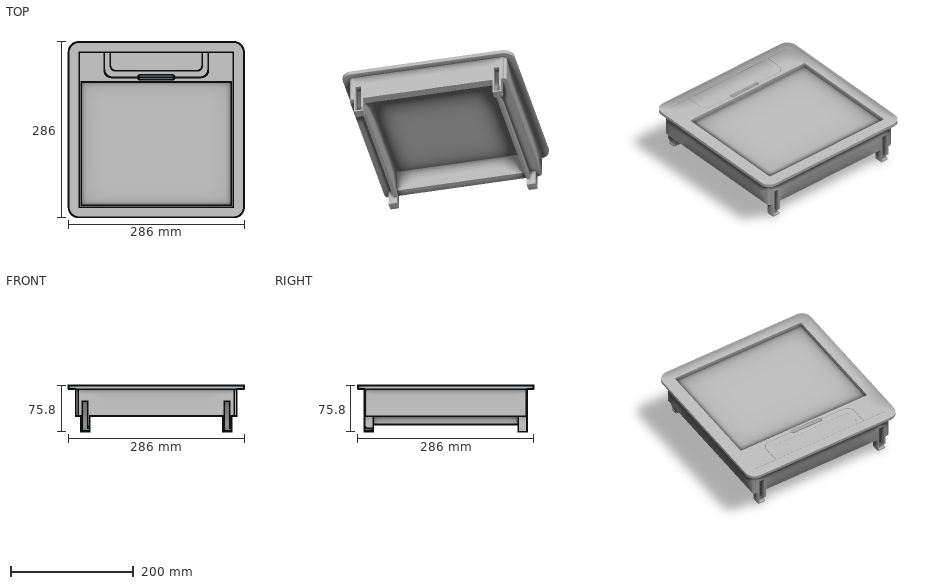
import cadquery as cq

TOTAL_HEIGHT = 75.8
BOX_BOTTOM = 25.7
RAIL_BOTTOM = 11.7

FLANGE_SIZE = 286.0
FLANGE_THICKNESS = 6.0
FLANGE_CORNER_RADIUS = 17.2
FLANGE_BOTTOM_FILLET = 1.1

BOX_SIZE = 262.5
BOX_CORNER_RADIUS = 4.3

PAD_HEIGHT = 1.1
PAD_WIDTH = BOX_SIZE - 2 * BOX_CORNER_RADIUS
PAD_OUTER_Y = BOX_SIZE / 2 + PAD_HEIGHT

LEG_SIZE = 14.5
LEG_SPACING_X = 230.8
LEG_CENTRE_X = LEG_SPACING_X / 2
LEG_OUTER_Y = PAD_OUTER_Y
CHANNEL_DEPTH = 12.3
CHANNEL_WALL_CLOSED = 2.3
CHANNEL_WALL_NOTCHED = 3.1
CHANNEL_FLOOR = 2.3
CHANNEL_TOP = 50.3
NOTCH_TOP = 5.7
NOTCH_FLARE_LENGTH = 4.3
NOTCH_FLARE_TOP = 9.5
LIP_RADIUS = 3.0

RAIL_WIDTH = 5.7

OPENING_X = 250.5
OPENING_Y = 252.5
LID_THICKNESS = 11.5
THROUGH_X = LEG_SPACING_X - LEG_SIZE
THROUGH_Y = 2 * (LEG_OUTER_Y - LEG_SIZE)

BACK_GAP = 0.5
RECESS_X = 243.6
RECESS_FRONT_Y = -123.0
RECESS_BACK_Y = 78.0
RECESS_DEPTH = 8.5
RECESS_STEP_WIDTH = 1.1
RECESS_STEP_HEIGHT = 1.1

FLAP_WIDTH = 168.7
FLAP_THICKNESS = 5.7
FLAP_FRONT_Y = 85.5
FLAP_CORNER_RADIUS = 12.0
FLAP_GAP = 0.5
PANEL_WIDTH = 149.3
PANEL_FRONT_Y = 95.8
PANEL_CORNER_RADIUS = 8.3
PANEL_DEPTH = 0.3

GRIP_LENGTH = 60.0
GRIP_RADIUS = 3.85

FLAP_BOTTOM = TOTAL_HEIGHT - FLAP_THICKNESS
LID_BOTTOM = TOTAL_HEIGHT - LID_THICKNESS
LID_BACK_Y = OPENING_Y / 2 - BACK_GAP


def block(x_min, x_max, y_min, y_max, z_min, z_max):
    """Box between the given limits."""
    return cq.Workplane("XY").box(
        x_max - x_min, y_max - y_min, z_max - z_min, centered=False
    ).translate((x_min, y_min, z_min))


def centred_block(length_x, length_y, z_min, z_max):
    """Box centred on the Z axis."""
    return block(-length_x / 2, length_x / 2, -length_y / 2, length_y / 2, z_min, z_max)


def tongue(width, front_y, back_y, corner_radius, z_min, z_max):
    """Block centred in X whose two front corners are rounded."""
    body = block(-width / 2, width / 2, front_y, back_y, z_min, z_max)
    return body.edges("|Z and <Y").fillet(corner_radius)


def make_leg():
    """Front leg centred on X = 0: solid post up to the top of its channel."""
    half = LEG_SIZE / 2
    front_y = -LEG_OUTER_Y
    return block(-half, half, front_y, front_y + LEG_SIZE, 0, CHANNEL_TOP)


def make_leg_cut():
    """Channel of a front leg, and the flared notch through its +X wall."""
    half = LEG_SIZE / 2
    front_y = -LEG_OUTER_Y
    inner_y = front_y + CHANNEL_DEPTH
    channel = block(
        CHANNEL_WALL_CLOSED - half, half - CHANNEL_WALL_NOTCHED,
        front_y, inner_y, CHANNEL_FLOOR, CHANNEL_TOP,
    )
    notch = (
        cq.Workplane("YZ")
        .moveTo(front_y, CHANNEL_FLOOR)
        .lineTo(inner_y, CHANNEL_FLOOR)
        .lineTo(inner_y, NOTCH_TOP)
        .lineTo(front_y + NOTCH_FLARE_LENGTH, NOTCH_TOP)
        .lineTo(front_y, NOTCH_FLARE_TOP)
        .close()
        .extrude(half)
    )
    lip_corner = block(half - LIP_RADIUS, half, front_y, front_y + LIP_RADIUS, 0, CHANNEL_FLOOR)
    lip_round = (
        cq.Workplane("XY")
        .center(half - LIP_RADIUS, front_y + LIP_RADIUS)
        .circle(LIP_RADIUS)
        .extrude(CHANNEL_FLOOR)
    )
    return channel.union(notch).union(lip_corner.cut(lip_round))


def at_each_leg(shape):
    """Copies of a front leg shape at all four legs; the back ones are turned half round."""
    copies = []
    for x in (-LEG_CENTRE_X, LEG_CENTRE_X):
        front = shape.translate((x, 0, 0))
        copies.append(front)
        copies.append(front.rotate((0, 0, 0), (0, 0, 1), 180))
    return copies


def make_housing():
    """Flanged box frame with four legs and two side rails."""
    flange_bottom = TOTAL_HEIGHT - FLANGE_THICKNESS
    flange = centred_block(FLANGE_SIZE, FLANGE_SIZE, flange_bottom, TOTAL_HEIGHT)
    flange = flange.edges("|Z").fillet(FLANGE_CORNER_RADIUS)
    flange = flange.faces("<Z").edges().fillet(FLANGE_BOTTOM_FILLET)
    box = centred_block(BOX_SIZE, BOX_SIZE, BOX_BOTTOM, flange_bottom)
    box = box.edges("|Z").fillet(BOX_CORNER_RADIUS)
    pads = centred_block(PAD_WIDTH, 2 * PAD_OUTER_Y, BOX_BOTTOM, flange_bottom)
    housing = flange.union(box).union(pads)

    housing = housing.cut(centred_block(THROUGH_X, THROUGH_Y, BOX_BOTTOM, LID_BOTTOM))
    housing = housing.cut(centred_block(OPENING_X, OPENING_Y, LID_BOTTOM, TOTAL_HEIGHT))

    for leg in at_each_leg(make_leg()):
        housing = housing.union(leg)
    rail_half_length = LEG_OUTER_Y - LEG_SIZE
    rail_inner_x = THROUGH_X / 2
    rail = block(
        rail_inner_x, rail_inner_x + RAIL_WIDTH,
        -rail_half_length, rail_half_length, RAIL_BOTTOM, BOX_BOTTOM,
    )
    housing = housing.union(rail).union(rail.mirror("YZ"))
    for leg_cut in at_each_leg(make_leg_cut()):
        housing = housing.cut(leg_cut)
    return housing


def make_grip():
    """Round-bottomed groove with ball ends, half in the lid and half in the flap."""
    straight = GRIP_LENGTH - 2 * GRIP_RADIUS
    centre = (0, FLAP_FRONT_Y - FLAP_GAP / 2, TOTAL_HEIGHT)
    groove = cq.Workplane("YZ").circle(GRIP_RADIUS).extrude(straight / 2, both=True)
    for x in (-straight / 2, straight / 2):
        groove = groove.union(cq.Workplane("XY").sphere(GRIP_RADIUS).translate((x, 0, 0)))
    return groove.translate(centre)


def make_lid():
    """Lid with the floor recess in front and the pocket for the flap at the back."""
    lid = block(-OPENING_X / 2, OPENING_X / 2, -OPENING_Y / 2, LID_BACK_Y, LID_BOTTOM, TOTAL_HEIGHT)
    recess = block(
        -RECESS_X / 2, RECESS_X / 2, RECESS_FRONT_Y, RECESS_BACK_Y,
        TOTAL_HEIGHT - RECESS_DEPTH, TOTAL_HEIGHT,
    )
    step_top = TOTAL_HEIGHT - RECESS_DEPTH + RECESS_STEP_HEIGHT
    step = block(
        -RECESS_X / 2, RECESS_X / 2, RECESS_BACK_Y - RECESS_STEP_WIDTH, RECESS_BACK_Y,
        TOTAL_HEIGHT - RECESS_DEPTH, step_top,
    )
    flap_pocket = tongue(
        FLAP_WIDTH + 2 * FLAP_GAP, FLAP_FRONT_Y - FLAP_GAP, LID_BACK_Y,
        FLAP_CORNER_RADIUS + FLAP_GAP, FLAP_BOTTOM, TOTAL_HEIGHT,
    )
    return lid.cut(recess.cut(step)).cut(flap_pocket).cut(make_grip())


def make_flap():
    """Flap with a slightly sunk panel open to its back edge."""
    flap = tongue(FLAP_WIDTH, FLAP_FRONT_Y, LID_BACK_Y, FLAP_CORNER_RADIUS, FLAP_BOTTOM, TOTAL_HEIGHT)
    panel = tongue(
        PANEL_WIDTH, PANEL_FRONT_Y, LID_BACK_Y,
        PANEL_CORNER_RADIUS, TOTAL_HEIGHT - PANEL_DEPTH, TOTAL_HEIGHT,
    )
    return flap.cut(panel).cut(make_grip())


housing = make_housing()
lid = make_lid()
flap = make_flap()

result = cq.Compound.makeCompound([housing.val(), lid.val(), flap.val()])